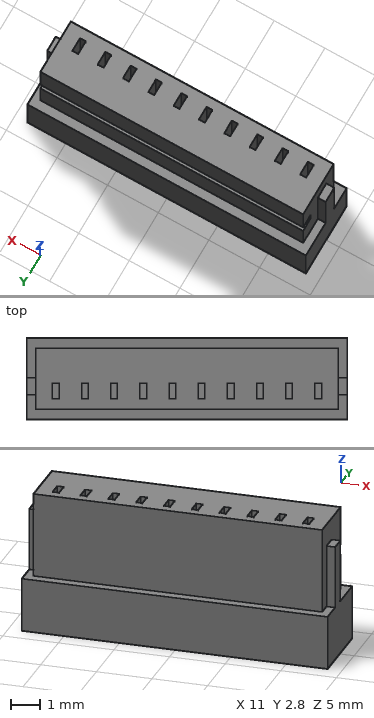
import cadquery as cq

base_length = 11.0
base_width = 2.8
base_height = 1.95
total_height = 5.0

end_margin = 0.31
side_margin = 0.35
body_length = base_length - 2 * end_margin
body_width = base_width - 2 * side_margin
body_height = total_height - base_height

rib_width = 0.59
rib_height = 2.25
rib_y = -0.25

groove_depth = 0.51
groove_inner_height = 0.33
groove_mouth_height = 0.38
groove_top_drop = 1.4

slot_count = 10
slot_pitch = base_length / (slot_count + 1)
slot_length_x = 0.23
slot_length_y = 0.53
slot_depth = body_height
slot_y = -0.42


def make_base():
    return cq.Workplane("XY").box(base_length, base_width, base_height, centered=(True, True, False))


def make_body():
    body = cq.Workplane("XY").box(body_length, body_width, body_height, centered=(True, True, False))
    return body.translate((0, 0, base_height))


def make_ribs():
    bar = cq.Workplane("XY").box(base_length, rib_width, rib_height, centered=(True, True, False))
    return bar.translate((0, rib_y, base_height))


def make_groove_cutter():
    mouth_y = body_width / 2
    inner_y = mouth_y - groove_depth
    top_z = total_height - groove_top_drop
    profile = [
        (mouth_y, top_z),
        (inner_y, top_z),
        (inner_y, top_z - groove_inner_height),
        (mouth_y, top_z - groove_mouth_height),
    ]
    return cq.Workplane("YZ").polyline(profile).close().extrude(body_length / 2, both=True)


def make_slot_cutters():
    return (
        cq.Workplane("XY", origin=(0, slot_y, total_height))
        .rarray(slot_pitch, 0.11, slot_count, 1)
        .rect(slot_length_x, slot_length_y)
        .extrude(-slot_depth)
    )


result = make_base().union(make_body()).union(make_ribs())
result = result.cut(make_groove_cutter()).cut(make_slot_cutters())